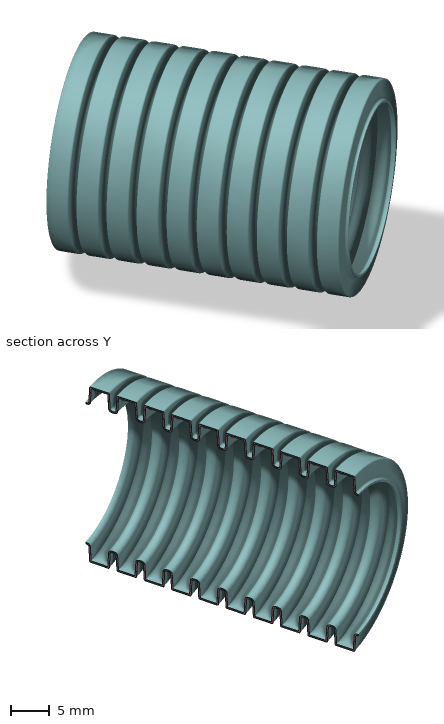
import cadquery as cq
import math

length = 40.0
rib_count = 10
crest_diameter = 28.5
root_diameter = 23.0
bore_diameter = 22.4
crest_width = 2.9
flank_angle = 3.2
corner_radius = 0.2

pitch = length / rib_count
wall = (root_diameter - bore_diameter) / 2
lean = math.radians(flank_angle)

inner_crest_width = crest_width - 2 * wall * (1 / math.cos(lean) - math.tan(lean))
inner_root_radius = corner_radius + wall


def ribbed_rod(top_diameter, foot_diameter, top_width):
    """Solid rod along X with evenly spaced tapered ribs and sharp corners."""
    top = top_diameter / 2
    foot = foot_diameter / 2
    half_top = top_width / 2
    half_foot = half_top + (top - foot) * math.tan(lean)
    outline = [(-length / 2, 0), (-length / 2, foot)]
    for index in range(rib_count):
        center = -length / 2 + (index + 0.5) * pitch
        outline += [
            (center - half_foot, foot),
            (center - half_top, top),
            (center + half_top, top),
            (center + half_foot, foot),
        ]
    outline += [(length / 2, foot), (length / 2, 0)]
    return cq.Workplane("XY").polyline(outline).close().revolve(360, (0, 0, 0), (1, 0, 0))


def round_corners(rod, diameter, radius):
    """Round the rib corners at one diameter, leaving the end faces of the rod sharp."""
    corners = rod.edges("%CIRCLE").edges("not(<X or >X)")
    tolerance = wall / 10
    return corners.filter(lambda edge: abs(edge.radius() - diameter / 2) < tolerance).fillet(radius)


outer_rod = ribbed_rod(crest_diameter, root_diameter, crest_width)
outer_rod = round_corners(outer_rod, crest_diameter, corner_radius)
outer_rod = round_corners(outer_rod, root_diameter, corner_radius)

hollow = ribbed_rod(crest_diameter - 2 * wall, bore_diameter, inner_crest_width)
hollow = round_corners(hollow, bore_diameter, inner_root_radius)

result = outer_rod.cut(hollow)